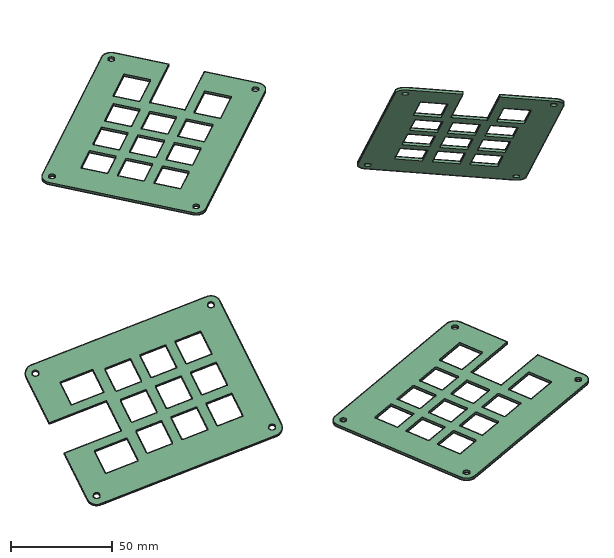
import cadquery as cq

width = 85.0
length = 105.0
thickness = 1.5
corner_radius = 5.0

hole_diameter = 3.4
hole_span_x = width - 2 * corner_radius
hole_span_y = length - 2 * corner_radius

key_size = 14.0
key_pitch = 19.0
key_count = 3
key_grid_y = -10.9
window_corner_radius = 0.3

tall_window_length = 17.6
tall_window_spacing = 42.0
tall_window_y = 29.5

notch_width = 18.5
notch_depth = 31.0


def window_cutter(size_x, size_y, centers):
    """Through-cutting blocks with rounded corners at the given centers."""
    return (
        cq.Workplane("XY")
        .pushPoints(centers)
        .rect(size_x, size_y)
        .extrude(thickness)
        .edges("|Z")
        .fillet(window_corner_radius)
    )


plate = (
    cq.Workplane("XY")
    .rect(width, length)
    .extrude(thickness)
    .edges("|Z")
    .fillet(corner_radius)
)

mounting_holes = (
    cq.Workplane("XY")
    .rect(hole_span_x, hole_span_y, forConstruction=True)
    .vertices()
    .circle(hole_diameter / 2)
    .extrude(thickness)
)

middle_key = (key_count - 1) / 2
key_centers = [
    ((column - middle_key) * key_pitch, key_grid_y + (row - middle_key) * key_pitch)
    for column in range(key_count)
    for row in range(key_count)
]
key_windows = window_cutter(key_size, key_size, key_centers)

tall_window_centers = [(side * tall_window_spacing / 2, tall_window_y) for side in (-1, 1)]
tall_windows = window_cutter(key_size, tall_window_length, tall_window_centers)

notch = (
    cq.Workplane("XY")
    .center(0, (length - notch_depth) / 2)
    .rect(notch_width, notch_depth)
    .extrude(thickness)
)

result = plate.cut(mounting_holes).cut(key_windows).cut(tall_windows).cut(notch)